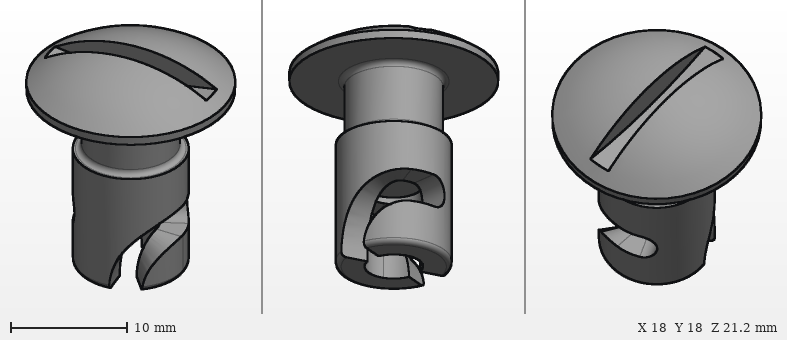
import cadquery as cq
import math

total_height = 21.25
head_radius = 8.99
rim_bottom = 17.49
rim_top = 18.28

driver_width = 2.0
driver_half_length = 7.8
driver_end = 19.08
driver_sag = 0.75

neck_radius = 4.25
neck_fillet = 0.5
body_radius = 5.0
body_top = 11.48
body_edge_fillet = 0.47

bore_radius = 2.5
bore_depth = 7.65

cam_width = 3.0
cam_height = 5.55
cam_end_angle = -22.5
cam_turn_length = 5.74
cam_exit_angle = 69.0
bore_overlap = 0.21
cam_inner = bore_radius - bore_overlap
body_overshoot = 0.42
cam_outer = body_radius + body_overshoot
cam_turn_angle = cam_exit_angle - math.degrees(cam_turn_length / body_radius)
level_sections = 5
turn_sections = 13


def make_stud():
    rise = total_height - rim_top
    half_slot = driver_width / 2
    dome_radius = (head_radius**2 + rise**2) / (2 * rise)
    apex = total_height + half_slot**2 / (2 * dome_radius)
    dome_radius = (head_radius**2 + (apex - rim_top) ** 2) / (2 * (apex - rim_top))
    dome_center = apex - dome_radius
    half_angle = math.asin(head_radius / dome_radius) / 2
    dome_mid = (dome_radius * math.sin(half_angle), dome_center + dome_radius * math.cos(half_angle))

    profile = (
        cq.Workplane("XZ")
        .lineTo(body_radius - body_edge_fillet, 0)
        .radiusArc((body_radius, body_edge_fillet), -body_edge_fillet)
        .lineTo(body_radius, body_top)
        .lineTo(neck_radius + neck_fillet, body_top)
        .radiusArc((neck_radius, body_top + neck_fillet), neck_fillet)
        .lineTo(neck_radius, rim_bottom - neck_fillet)
        .radiusArc((neck_radius + neck_fillet, rim_bottom), neck_fillet)
        .lineTo(head_radius, rim_bottom)
        .lineTo(head_radius, rim_top)
        .threePointArc(dome_mid, (0, apex))
        .close()
    )
    return profile.revolve(360, (0, 0, 0), (0, 1, 0))


def make_driver_slot():
    top = total_height + driver_width
    slot = (
        cq.Workplane("XZ")
        .moveTo(-driver_half_length, driver_end)
        .threePointArc((0, driver_end - driver_sag), (driver_half_length, driver_end))
        .lineTo(driver_half_length, top)
        .lineTo(-driver_half_length, top)
        .close()
    )
    return slot.extrude(driver_width / 2, both=True)


def make_bore():
    return cq.Workplane("XY").circle(bore_radius).extrude(bore_depth)


def radial_direction(angle):
    a = math.radians(angle)
    return cq.Vector(-math.cos(a), math.sin(a), 0)


def cam_section(angle, height, tilt):
    """Slot outline with radial walls; tilt is the downward slope of the path in degrees."""
    outward = radial_direction(angle)
    sideways = radial_direction(angle + 90)
    slope = math.radians(tilt)
    rise = cq.Vector(0, 0, math.cos(slope) * cam_width / 2)
    spread = math.sin(slope) * cam_width / 2 / body_radius

    def corner(radius, side):
        center = outward * radius + cq.Vector(0, 0, height)
        return center + (sideways * (spread * radius) + rise) * side

    corners = [corner(cam_inner, -1), corner(cam_outer, -1), corner(cam_outer, 1), corner(cam_inner, 1)]
    return cq.Wire.makePolygon(corners, close=True)


def make_cam_slot():
    level = []
    for i in range(level_sections):
        angle = cam_end_angle + (cam_turn_angle - cam_end_angle) * i / (level_sections - 1)
        level.append(cam_section(angle, cam_height, 0))

    turn = []
    for i in range(turn_sections):
        tilt = 90.0 * i / (turn_sections - 1)
        slope = math.radians(tilt)
        angle = cam_turn_angle + math.degrees(cam_turn_length * math.sin(slope) / body_radius)
        turn.append(cam_section(angle, cam_height * math.cos(slope), tilt))

    round_end = cq.Solid.makeCylinder(
        cam_width / 2, cam_outer, cq.Vector(0, 0, cam_height), radial_direction(cam_end_angle)
    )
    return [cq.Solid.makeLoft(level), cq.Solid.makeLoft(turn), round_end]


result = make_stud().cut(make_driver_slot()).cut(make_bore())
for cutter in make_cam_slot():
    for turn_angle in (0, 180):
        result = result.cut(cq.Workplane(cutter.rotate((0, 0, 0), (0, 0, 1), turn_angle)))